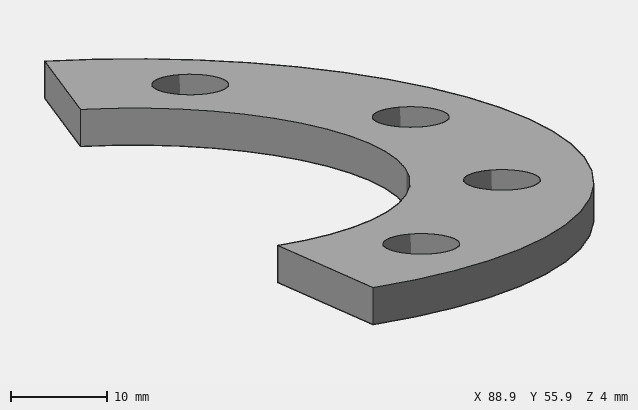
import cadquery as cq
import math

outer_radius = 47.625
inner_radius = 28.575
thickness = 4.0
start_angle = -10.0
end_angle = 150.0
hole_diameter = 7.94
hole_count = 4

mid_angle = (start_angle + end_angle) / 2
bolt_circle_radius = (outer_radius + inner_radius) / 2
hole_pitch = (end_angle - start_angle) / hole_count
first_hole_angle = start_angle + hole_pitch / 2


def polar_point(radius, angle):
    """Point at a radius and an angle (degrees) about the arc centre."""
    return (
        radius * math.cos(math.radians(angle)),
        radius * math.sin(math.radians(angle)),
    )


def make_sector_plate():
    """Flat ring sector with radial ends."""
    return (
        cq.Workplane("XY")
        .moveTo(*polar_point(inner_radius, start_angle))
        .lineTo(*polar_point(outer_radius, start_angle))
        .threePointArc(polar_point(outer_radius, mid_angle), polar_point(outer_radius, end_angle))
        .lineTo(*polar_point(inner_radius, end_angle))
        .threePointArc(polar_point(inner_radius, mid_angle), polar_point(inner_radius, start_angle))
        .close()
        .extrude(thickness)
    )


def make_bolt_holes():
    """Cylinders for the through holes along the bolt circle."""
    centres = [
        polar_point(bolt_circle_radius, first_hole_angle + i * hole_pitch)
        for i in range(hole_count)
    ]
    return cq.Workplane("XY").pushPoints(centres).circle(hole_diameter / 2).extrude(thickness)


result = make_sector_plate().cut(make_bolt_holes())